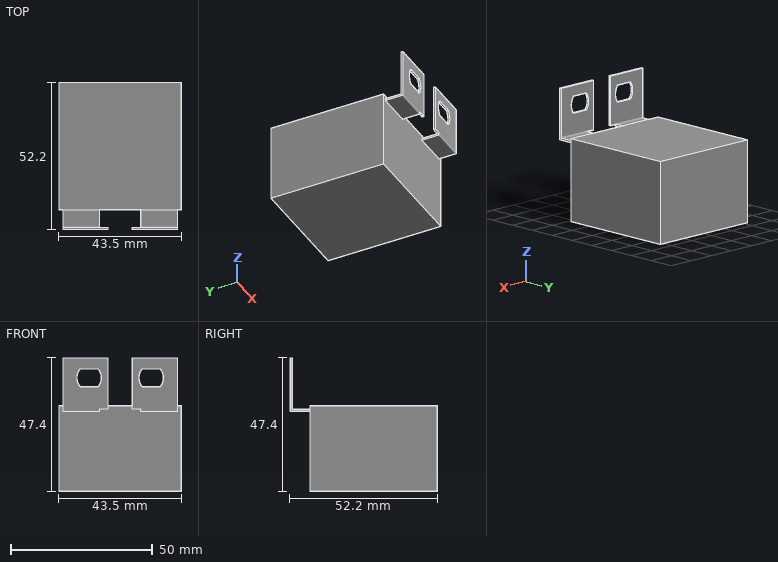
import cadquery as cq

case_width = 43.5
case_depth = 45.2
case_height = 30.4

sheet_thickness = 0.8
bend_radius = 0.2
foot_width = 13.1
foot_reach = 7.0
foot_drop = 2.0
plate_width = 16.1
plate_rise = 17.0
side_margin = 1.4

hole_length = 8.55
hole_height = 6.2
hole_flat_length = 6.4
hole_from_side = 9.35
hole_from_top = 7.1

case_face_y = -case_depth / 2
plate_front_y = case_face_y - foot_reach
plate_back_y = plate_front_y + sheet_thickness
foot_bottom_z = case_height - foot_drop
foot_top_z = foot_bottom_z + sheet_thickness
plate_top_z = case_height + plate_rise
lug_outer_x = -case_width / 2 + side_margin


def make_case():
    return cq.Workplane("XY").box(case_width, case_depth, case_height, centered=(True, True, False))


def bent_strip():
    """L-shaped strip of the foot's width, with the bend at its lower front corner."""
    return (
        cq.Workplane("YZ", origin=(lug_outer_x, 0, 0))
        .moveTo(case_face_y, foot_bottom_z)
        .lineTo(plate_front_y + bend_radius, foot_bottom_z)
        .radiusArc((plate_front_y, foot_bottom_z + bend_radius), bend_radius)
        .lineTo(plate_front_y, plate_top_z)
        .lineTo(plate_back_y, plate_top_z)
        .lineTo(plate_back_y, foot_top_z + bend_radius)
        .radiusArc((plate_back_y + bend_radius, foot_top_z), -bend_radius)
        .lineTo(case_face_y, foot_top_z)
        .close()
        .extrude(foot_width)
    )


def plate_extension():
    """Part of the upright plate that reaches inward past the foot and ends level with its top."""
    return cq.Workplane("XY").box(
        plate_width - foot_width,
        sheet_thickness,
        plate_top_z - foot_top_z,
        centered=False,
    ).translate((lug_outer_x + foot_width, plate_front_y, foot_top_z))


def lug_hole():
    """Cutter for the flat-sided hole, through the thickness of the plate."""
    half_flat = hole_flat_length / 2
    half_length = hole_length / 2
    half_height = hole_height / 2
    centre = (lug_outer_x + hole_from_side, plate_back_y, plate_top_z - hole_from_top)
    return (
        cq.Workplane("XZ", origin=centre)
        .moveTo(-half_flat, half_height)
        .lineTo(half_flat, half_height)
        .threePointArc((half_length, 0), (half_flat, -half_height))
        .lineTo(-half_flat, -half_height)
        .threePointArc((-half_length, 0), (-half_flat, half_height))
        .close()
        .extrude(sheet_thickness)
    )


def make_terminal(mirrored):
    """Terminal on the -X side, or its mirror image on the +X side."""
    terminal = bent_strip().union(plate_extension()).cut(lug_hole())
    return terminal.mirror("YZ") if mirrored else terminal


case = make_case()
terminals = [make_terminal(mirrored) for mirrored in (False, True)]

result = cq.Compound.makeCompound([case.val(), *[terminal.solids().val() for terminal in terminals]])